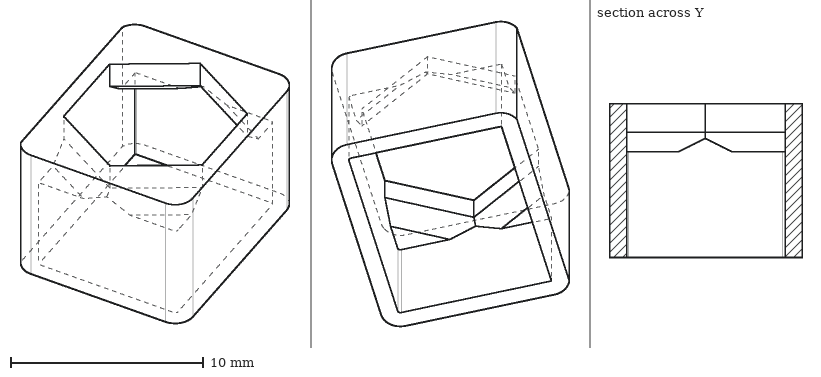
import cadquery as cq
import math

cavity_width = 8.3
cavity_length = 10.3
cavity_corner_radius = 0.15

wall = 0.9
block_width = cavity_width + 2 * wall
block_length = cavity_length + 2 * wall
block_corner_radius = cavity_corner_radius + wall
block_height = 8.0

side_trim = 0.08

hex_across_flats = cavity_width
hex_depth = 1.5
flare_height = 1.0
flare_angle = 45.0

hex_bottom = block_height - hex_depth
flare_bottom = hex_bottom - flare_height


def rounded_prism(width, length, radius, height):
    """Rounded rectangular prism standing on Z = 0, cut flat on its -X side."""
    prism = (
        cq.Workplane("XY")
        .rect(width, length)
        .extrude(height)
        .edges("|Z")
        .fillet(radius)
    )
    kept = (
        cq.Workplane("XY")
        .center(side_trim / 2, 0)
        .rect(width - side_trim, length)
        .extrude(height)
    )
    return prism.intersect(kept)


def hex_prism(across_flats, bottom, height, taper=0.0):
    """Hexagonal prism with points along Y, narrowing upward by the taper angle."""
    across_points = across_flats / math.cos(math.radians(30))
    return (
        cq.Workplane("XY")
        .workplane(offset=bottom)
        .transformed(rotate=(0, 0, 90))
        .polygon(6, across_points)
        .extrude(height, taper=taper)
    )


def inner_space():
    """Cavity with the flare and the hexagonal opening above it."""
    lower = rounded_prism(
        cavity_width, cavity_length, cavity_corner_radius, flare_bottom
    )
    flare_spread = flare_height * math.tan(math.radians(flare_angle))
    flare = hex_prism(
        hex_across_flats + 2 * flare_spread, flare_bottom, flare_height, flare_angle
    )
    opening = hex_prism(hex_across_flats, hex_bottom, hex_depth)

    envelope = rounded_prism(
        cavity_width, cavity_length, cavity_corner_radius, block_height
    )
    upper = flare.union(opening).intersect(envelope)
    return lower.union(upper)


block = rounded_prism(
    block_width, block_length, block_corner_radius, block_height
)
result = block.cut(inner_space())